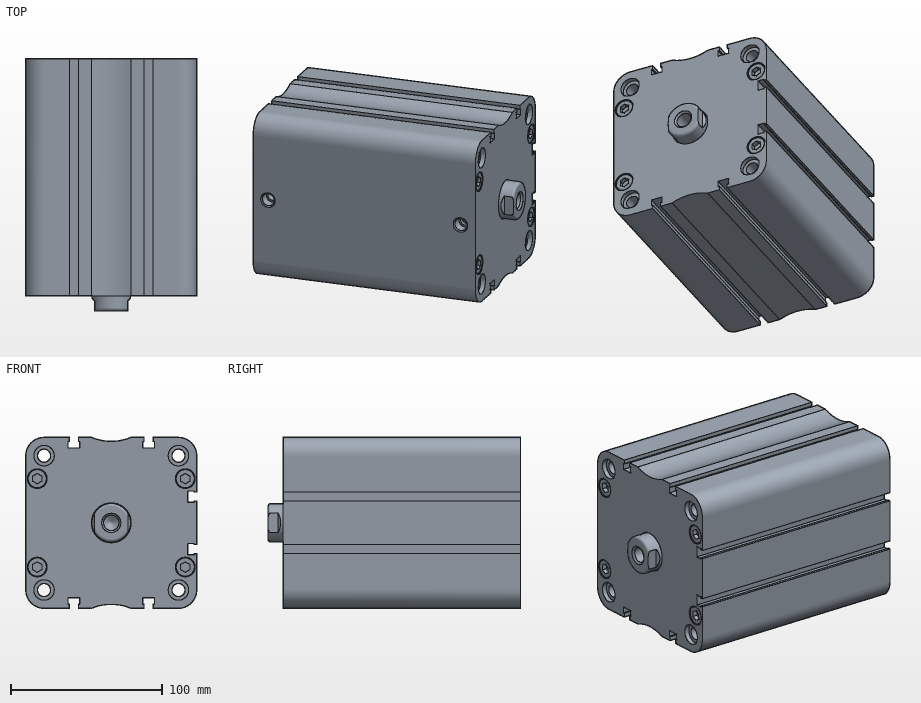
import cadquery as cq
import math

width = 113.2
total_length = 167.0
rod_length = 10.0
cap_length = 19.5
corner_radius = 12.4

half_width = width / 2
body_length = total_length - rod_length
front_y = 0.0
rear_y = front_y + body_length

hollow_width = 26.4
hollow_depth = 2.7

face_slot = (5.8, 7.7, 7.0, 2.8)
face_slot_offset = 24.7
side_slot = (5.8, 7.3, 6.0, 1.8)
side_slot_offset = 17.4

mount_offset = 44.5
mount_diameter = 8.5
mount_bore_diameter = 13.5
mount_bore_depth = 3.3

screw_x = 49.0
screw_z = 29.2
screw_bore_diameter = 13.0
screw_head_diameter = 12.0
screw_bore_depth = 2.0
screw_head_height = 1.5
socket_flats = 6.0
socket_depth = 3.3
socket_turn = 30.0

rod_diameter = 25.5
rod_clearance_diameter = 26.4
rod_clearance_depth = 3.3
rod_tip_radius = 1.8
flats_width = 22.0
flats_length = 6.7
rod_hole_mouth = 12.7
rod_hole_diameter = 10.2
rod_hole_depth = 20.0
drill_angle = 118.0

port_inset = 10.5
port_mouth = 10.2
port_diameter = 8.5
port_depth = 8.4
port_passage_diameter = 6.0
front_passage_depth = 11.7
core_diameter = 16.7


def cylinder_y(x, z, diameter, y, length):
    """Cylinder along +Y starting at the given y."""
    return cq.Workplane(cq.Solid.makeCylinder(
        diameter / 2, length, cq.Vector(x, y, z), cq.Vector(0, 1, 0)))


def cone(start, direction, diameter, end_diameter, length):
    """Truncated (or pointed) cone from a start point along a direction."""
    return cq.Workplane(cq.Solid.makeCone(
        diameter / 2, end_diameter / 2, length, cq.Vector(*start), cq.Vector(*direction)))


def sensor_slot(sizes, offset, angle):
    """T-shaped slot in the top face, turned about Y to the wanted side."""
    mouth, inner, depth, lip = sizes
    mouth_cut = cq.Workplane("XY").box(mouth, body_length, depth, centered=(True, False, False))
    inner_cut = cq.Workplane("XY").box(inner, body_length, depth - lip, centered=(True, False, False))
    slot = mouth_cut.union(inner_cut).translate((offset, front_y, half_width - depth))
    return slot.rotate((0, 0, 0), (0, 1, 0), angle)


def make_body():
    body = (cq.Workplane("XY")
            .box(width, body_length, width, centered=(True, False, True))
            .translate((0, front_y, 0))
            .edges("|Y").fillet(corner_radius))
    hollow_radius = ((hollow_width / 2) ** 2 + hollow_depth ** 2) / (2 * hollow_depth)
    hollow_axis = half_width - hollow_depth + hollow_radius
    for side in (1, -1):
        body = body.cut(cylinder_y(0, side * hollow_axis, 2 * hollow_radius, front_y, body_length))
        for angle in (0, 180):
            body = body.cut(sensor_slot(face_slot, side * face_slot_offset, angle))
        body = body.cut(sensor_slot(side_slot, side * side_slot_offset, 90))
    return body


def cut_mount_hole(body, x, z):
    body = body.cut(cylinder_y(x, z, mount_diameter, front_y, body_length))
    return body.cut(cylinder_y(x, z, mount_bore_diameter, front_y, mount_bore_depth))


def add_screw(body, x, z):
    head_y = front_y + screw_bore_depth - screw_head_height
    socket = (cq.Workplane("XZ")
              .polygon(6, socket_flats / math.cos(math.radians(30)))
              .extrude(-socket_depth)
              .rotate((0, 0, 0), (0, 1, 0), socket_turn)
              .translate((x, head_y, z)))
    body = body.cut(cylinder_y(x, z, screw_bore_diameter, front_y, screw_bore_depth))
    body = body.union(cylinder_y(x, z, screw_head_diameter, head_y, screw_head_height))
    return body.cut(socket)


def make_rod():
    tip_y = front_y - rod_length
    rod = (cylinder_y(0, 0, rod_diameter, tip_y, rod_length + rod_clearance_depth)
           .faces("<Y").fillet(rod_tip_radius))
    flat_depth = (rod_diameter - flats_width) / 2
    flat_end_y = tip_y + flats_length
    for side in (1, -1):
        rod = rod.cut(cq.Workplane("XY").polyline([
            (side * flats_width / 2, tip_y),
            (side * flats_width / 2, flat_end_y),
            (side * rod_diameter / 2, flat_end_y + flat_depth),
            (side * rod_diameter / 2, tip_y),
        ]).close().extrude(rod_diameter / 2, both=True))
    return rod


def make_rod_hole():
    """Drilled hole in the rod tip with a 45 degree mouth and a pointed end."""
    tip_y = front_y - rod_length
    hole_end_y = tip_y + rod_hole_depth
    mouth_depth = (rod_hole_mouth - rod_hole_diameter) / 2
    point_length = rod_hole_diameter / 2 / math.tan(math.radians(drill_angle / 2))
    mouth = cone((0, tip_y, 0), (0, 1, 0), rod_hole_mouth, rod_hole_diameter, mouth_depth)
    point = cone((0, hole_end_y, 0), (0, 1, 0), rod_hole_diameter, 0, point_length)
    return cylinder_y(0, 0, rod_hole_diameter, tip_y, rod_hole_depth).union(mouth).union(point)


def port(y, passage_depth):
    """Chamfered air port with a narrower passage behind it."""
    mouth_depth = (port_mouth - port_diameter) / 2
    face = cq.Workplane("YZ", origin=(-half_width, y, 0))
    return (cone((-half_width, y, 0), (1, 0, 0), port_mouth, port_diameter, mouth_depth)
            .union(face.circle(port_diameter / 2).extrude(port_depth))
            .union(face.circle(port_passage_diameter / 2).extrude(passage_depth)))


body = make_body()
for x_side in (1, -1):
    for z_side in (1, -1):
        body = cut_mount_hole(body, x_side * mount_offset, z_side * mount_offset)
        body = add_screw(body, x_side * screw_x, z_side * screw_z)

rod_clearance = cylinder_y(0, 0, rod_clearance_diameter, front_y, rod_clearance_depth)
body = body.cut(rod_clearance).union(make_rod()).cut(make_rod_hole())

front_port = port(front_y + port_inset, front_passage_depth)
rear_core = cylinder_y(0, 0, core_diameter, rear_y - cap_length, cap_length)
rear_port = port(rear_y - port_inset, half_width).cut(rear_core)
result = body.cut(front_port).cut(rear_port)